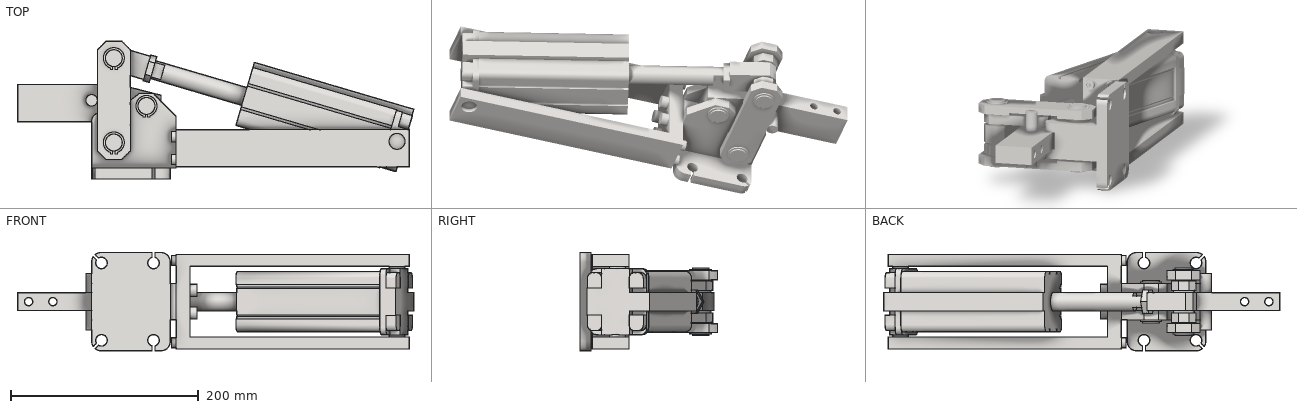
import cadquery as cq
import math

EPS = 0.2
CLEARANCE = 1.0
HEX_SIDES = 6

BASE_LENGTH, BASE_HEIGHT, BASE_WIDTH = 83.9, 12.0, 105.0
BASE_CORNER_RADIUS = 10.0
BASE_HOLE_DIAMETER = 12.0
BASE_HOLE_FRONT_X, BASE_HOLE_REAR_X = 10.5, 66.0
BASE_HOLE_Z = 41.25
BASE_SLOT_WIDTH = 3.0

LINK_PIVOT_X = 23.7
LOWER_PIVOT = (LINK_PIVOT_X, 39.0)
ROD_PIVOT = (LINK_PIVOT_X, 129.0)
ARM_PIVOT = (LINK_PIVOT_X, (LOWER_PIVOT[1] + ROD_PIVOT[1]) / 2)
BODY_PIVOT = (58.5, 78.0)
TRUNNION_PIVOT = (325.7, 40.2)

BODY_LENGTH, BODY_WIDTH = 90.0, 39.0
BODY_FRONT_HEIGHT, BODY_FRONT_RADIUS = 70.7, 9.0
BODY_REAR_HEIGHT, BODY_TOP = 67.0, 91.0
BODY_TOP_START_X, BODY_TOP_END_X = 50.5, 66.0
BODY_RELIEF_RADIUS = 17.6
ARM_SLOT_FLOOR = 58.0

ARM_FRONT_X, ARM_BOTTOM, ARM_TOP = -79.0, 61.0, 101.0
ARM_WIDTH = 19.0
ARM_STEP_X = 6.0
ARM_BEND_X, ARM_TAIL_X, ARM_TAIL_TOP = 29.0, 74.0, 89.5
ARM_HOLE_DIAMETER = 8.5
ARM_HOLE_XS = (-67.2, -41.3)
STOP_PIN_Y, STOP_PIN_DIAMETER, STOP_PIN_LENGTH = 84.0, 12.2, 60.5

OUTER_LINK_WIDTH, OUTER_LINK_OVERHANG, OUTER_LINK_CHAMFER = 35.0, 18.0, 9.0
OUTER_LINK_Z, OUTER_LINK_THICKNESS = 23.3, 9.8
LINK_RECESS_DEPTH, LINK_RECESS_LENGTH = 2.8, 53.0
INNER_LINK_WIDTH, INNER_LINK_OVERHANG, INNER_LINK_CHAMFER = 26.0, 13.0, 7.5
INNER_LINK_Z, INNER_LINK_THICKNESS = 12.0, 10.0

PIN_DIAMETER, PIN_HALF_LENGTH = 18.0, 36.0
BODY_PIN_HALF_LENGTH = 22.5
ARM_PIN_HALF_LENGTH = 25.5
PIN_SPACER_DIAMETER, BODY_SPACER_DIAMETER = 22.0, 26.0
RING_DIAMETER, RING_THICKNESS, RING_GAP = 22.4, 1.4, 2.4
RING_EAR_WIDTH, RING_EAR_DROP = 7.6, 12.0

FRAME_START, FRAME_END = BODY_LENGTH, 339.0
FRAME_BOTTOM, FRAME_HEIGHT, FRAME_WIDTH = 13.0, 39.7, 101.0
FRAME_WEB, FRAME_ARM = 15.0, 13.0
TRUNNION_DIAMETER, TRUNNION_RECESS = 17.0, 4.5
FRONT_SCREW_DIAMETER, FRONT_SCREW_HEIGHT, FRONT_SCREW_Z = 11.0, 5.0, 43.8
FRONT_SCREW_SOCKET, SCREW_SOCKET_DEPTH = 6.0, 3.0
REAR_SCREW_DIAMETER, REAR_SCREW_HEIGHT, REAR_SCREW_Z = 13.0, 7.6, 12.2
SCREW_YS = (20.8, 45.0)

CLEVIS_NOSE, CLEVIS_END = -12.5, 37.0
CLEVIS_HEIGHT, CLEVIS_CHAMFER = 26.0, 6.5
NUT_END, NUT_DIAMETER = 43.6, 28.8
FLATS_END, FLATS_WIDTH = 54.3, 12.0
ROD_DIAMETER = 20.0
BARREL_START, HEAD_START, HEAD_STEP = 145.0, 304.8, 311.6
TIE_NUT_END, CYLINDER_END = 322.9, 322.42
BARREL_SIZE, BARREL_CORNER = 64.5, 7.0
SIDE_GROOVE_OFFSET, SIDE_GROOVE_WIDTH = 11.5, 3.0
LOWER_GROOVE_OFFSET, LOWER_GROOVE_WIDTH = 14.0, 1.8
LOWER_RECESS_WIDTH, LOWER_RECESS_DEPTH = 36.6, 3.5
GROOVE_DEPTH = 3.0
RAIL_TOP, RAIL_WIDTH = 38.0, 20.0
HEAD_WIDTH, HEAD_HEIGHT = 70.6, 63.0
HEAD_CORE = 31.0
TIE_NUT_INNER, TIE_NUT_OUTER, TIE_NUT_RADIUS = 14.6, 31.0, 6.0


def box(x, y, z):
    """Box spanning the (min, max) ranges given for each axis."""
    size = [span[1] - span[0] for span in (x, y, z)]
    return cq.Workplane("XY").box(*size, centered=False).translate((x[0], y[0], z[0]))


def slab(outline, width):
    """Extrude an XY outline symmetrically about the mid plane."""
    return outline.extrude(width / 2, both=True)


def pin(center, diameter, half_length):
    """Round bar along Z, centred on the mid plane."""
    return slab(cq.Workplane("XY").center(*center).circle(diameter / 2), 2 * half_length)


def both_sides(shape):
    """Pair a shape with its mirror image across the mid plane."""
    return shape.union(shape.mirror("XY"))


def base_plate():
    """Mounting plate whose four bolt holes open to the edge through narrow slots."""
    plate = box((0, BASE_LENGTH), (0, BASE_HEIGHT), (-BASE_WIDTH / 2, BASE_WIDTH / 2))
    plate = plate.edges("|Y").fillet(BASE_CORNER_RADIUS)
    reach = 2 * BASE_HOLE_FRONT_X
    cut_height = 3 * BASE_HEIGHT
    for x, slot_angle in ((BASE_HOLE_FRONT_X, 45), (BASE_HOLE_REAR_X, 0)):
        bore = cq.Workplane("XZ").circle(BASE_HOLE_DIAMETER / 2).extrude(cut_height / 2, both=True)
        slot = cq.Workplane("XY").box(BASE_SLOT_WIDTH, cut_height, reach).translate((0, 0, reach / 2))
        slot = slot.rotate((0, 0, 0), (0, 1, 0), -slot_angle)
        cutter = bore.union(slot).translate((x, 0, BASE_HOLE_Z))
        plate = plate.cut(cutter).cut(cutter.mirror("XY"))
    return plate


def body_block():
    """Two cheeks on a solid foot, with a slot for the arm and a round relief for the inner links."""
    relief_run = math.sqrt(BODY_RELIEF_RADIUS**2 - (ARM_PIVOT[1] - BODY_FRONT_HEIGHT)**2)
    outline = (
        cq.Workplane("XY")
        .moveTo(0, BASE_HEIGHT - EPS)
        .lineTo(BODY_LENGTH + EPS, BASE_HEIGHT - EPS)
        .lineTo(BODY_LENGTH + EPS, BODY_REAR_HEIGHT)
        .lineTo(BODY_TOP_END_X, BODY_TOP)
        .lineTo(BODY_TOP_START_X, BODY_TOP)
        .lineTo(ARM_PIVOT[0] + BODY_RELIEF_RADIUS, ARM_PIVOT[1])
        .threePointArc(
            (ARM_PIVOT[0], ARM_PIVOT[1] - BODY_RELIEF_RADIUS),
            (ARM_PIVOT[0] - relief_run, BODY_FRONT_HEIGHT),
        )
        .lineTo(BODY_FRONT_RADIUS, BODY_FRONT_HEIGHT)
        .radiusArc((0, BODY_FRONT_HEIGHT - BODY_FRONT_RADIUS), -BODY_FRONT_RADIUS)
        .close()
    )
    block = slab(outline, BODY_WIDTH)
    slot_x = (-CLEARANCE, BODY_LENGTH + CLEARANCE)
    slot_y = (ARM_SLOT_FLOOR, BODY_TOP + CLEARANCE)
    arm_slot = box(slot_x, slot_y, (-ARM_WIDTH / 2, ARM_WIDTH / 2))
    return block.cut(arm_slot)


def clamp_arm():
    """Arm with two tool holes, a dropped tail and a cross pin that stops against the outer links."""
    outline = cq.Workplane("XY").polyline([
        (ARM_FRONT_X, ARM_BOTTOM),
        (ARM_STEP_X, ARM_BOTTOM),
        (ARM_STEP_X + ARM_BOTTOM - ARM_SLOT_FLOOR, ARM_SLOT_FLOOR),
        (ARM_TAIL_X, ARM_SLOT_FLOOR),
        (ARM_TAIL_X, ARM_TAIL_TOP),
        (ARM_BEND_X, ARM_TOP),
        (ARM_FRONT_X, ARM_TOP),
    ]).close()
    arm = slab(outline, ARM_WIDTH)
    for x in ARM_HOLE_XS:
        hole = cq.Workplane("XZ").center(x, 0).circle(ARM_HOLE_DIAMETER / 2).extrude(-ARM_TOP - CLEARANCE)
        arm = arm.cut(hole)
    return arm.union(pin((0, STOP_PIN_Y), STOP_PIN_DIAMETER, STOP_PIN_LENGTH / 2))


def link(lower, upper, width, overhang, chamfer, z, thickness):
    """Flat vertical bar with chamfered ends joining two pivots."""
    x = (lower[0] - width / 2, lower[0] + width / 2)
    y = (lower[1] - overhang, upper[1] + overhang)
    return box(x, y, (z, z + thickness)).edges("|Z").chamfer(chamfer)


def outer_links():
    bar = link(LOWER_PIVOT, ROD_PIVOT, OUTER_LINK_WIDTH, OUTER_LINK_OVERHANG, OUTER_LINK_CHAMFER,
               OUTER_LINK_Z, OUTER_LINK_THICKNESS)
    recess = cq.Workplane("XY").box(2 * OUTER_LINK_WIDTH, LINK_RECESS_LENGTH, 2 * LINK_RECESS_DEPTH)
    bar = bar.cut(recess.translate((*ARM_PIVOT, OUTER_LINK_Z)))
    return both_sides(bar)


def inner_links():
    bar = link(ARM_PIVOT, ROD_PIVOT, INNER_LINK_WIDTH, INNER_LINK_OVERHANG, INNER_LINK_CHAMFER,
               INNER_LINK_Z, INNER_LINK_THICKNESS)
    return both_sides(bar)


def retaining_rings(center, z):
    """Open spring rings with two ears, seated on the outer faces at height z."""
    ears = cq.Workplane("XY").rect(RING_EAR_WIDTH, RING_EAR_DROP).extrude(RING_THICKNESS + EPS)
    ring = cq.Workplane("XY").circle(RING_DIAMETER / 2).extrude(RING_THICKNESS + EPS)
    ring = ring.union(ears.translate((0, -RING_EAR_DROP / 2, 0)))
    gap = cq.Workplane("XY").rect(RING_GAP, RING_DIAMETER).extrude(RING_THICKNESS + EPS)
    ring = ring.cut(gap.translate((0, -RING_DIAMETER / 2, 0)))
    return both_sides(ring.translate((*center, z - EPS)))


def pivot_pins():
    """Four pivot pins with the spacers and retaining rings fitted to them."""
    link_face = OUTER_LINK_Z + OUTER_LINK_THICKNESS
    pins = pin(ROD_PIVOT, PIN_DIAMETER, PIN_HALF_LENGTH)
    pins = pins.union(pin(ROD_PIVOT, PIN_SPACER_DIAMETER, OUTER_LINK_Z + EPS))
    pins = pins.union(retaining_rings(ROD_PIVOT, link_face))
    pins = pins.union(pin(LOWER_PIVOT, PIN_DIAMETER, PIN_HALF_LENGTH))
    pins = pins.union(pin(LOWER_PIVOT, BODY_SPACER_DIAMETER, OUTER_LINK_Z + EPS))
    pins = pins.union(retaining_rings(LOWER_PIVOT, link_face))
    pins = pins.union(pin(BODY_PIVOT, PIN_DIAMETER, BODY_PIN_HALF_LENGTH))
    pins = pins.union(retaining_rings(BODY_PIVOT, BODY_WIDTH / 2))
    return pins.union(pin(ARM_PIVOT, PIN_DIAMETER, ARM_PIN_HALF_LENGTH))


def screw_head(x, y, z, diameter, height):
    return cq.Workplane("YZ").center(y, z).circle(diameter / 2).extrude(height).translate((x, 0, 0))


def rear_frame():
    """U-shaped frame that carries the cylinder trunnions, with its fixing screws."""
    y = (FRAME_BOTTOM, FRAME_BOTTOM + FRAME_HEIGHT)
    inner_z = FRAME_WIDTH / 2 - FRAME_ARM
    frame = box((FRAME_START, FRAME_END), y, (-FRAME_WIDTH / 2, FRAME_WIDTH / 2))
    window = box((FRAME_START + FRAME_WEB, FRAME_END + CLEARANCE), (0, ROD_PIVOT[1]), (-inner_z, inner_z))
    frame = frame.cut(window)
    recess = cq.Workplane("XY").center(*TRUNNION_PIVOT).circle(TRUNNION_DIAMETER / 2).extrude(TRUNNION_RECESS)
    frame = frame.cut(both_sides(recess.translate((0, 0, FRAME_WIDTH / 2 - TRUNNION_RECESS))))
    front_x = FRAME_START - FRONT_SCREW_HEIGHT
    for screw_y in SCREW_YS:
        for side in (-1, 1):
            head = screw_head(front_x, screw_y, side * FRONT_SCREW_Z,
                              FRONT_SCREW_DIAMETER, FRONT_SCREW_HEIGHT + EPS)
            socket = cq.Workplane("YZ").polygon(HEX_SIDES, FRONT_SCREW_SOCKET).extrude(SCREW_SOCKET_DEPTH)
            head = head.cut(socket.translate((front_x, screw_y, side * FRONT_SCREW_Z)))
            frame = frame.union(head)
            frame = frame.union(screw_head(FRAME_START + FRAME_WEB - EPS, screw_y, side * REAR_SCREW_Z,
                                           REAR_SCREW_DIAMETER, REAR_SCREW_HEIGHT + EPS))
    return frame


def along_axis(start, end, height, width):
    """Centred bar along the cylinder axis, with the given height and width across it."""
    return box((start, end), (-height / 2, height / 2), (-width / 2, width / 2))


def rod_assembly():
    """Clevis, lock nut and piston rod with two wrench flats."""
    clevis = along_axis(CLEVIS_NOSE, CLEVIS_END, CLEVIS_HEIGHT, ARM_WIDTH)
    clevis = clevis.faces("<X").edges("|Z").chamfer(CLEVIS_CHAMFER)
    nut = cq.Workplane("YZ").polygon(HEX_SIDES, NUT_DIAMETER).extrude(NUT_END - CLEVIS_END + EPS)
    nut = nut.translate((CLEVIS_END - EPS, 0, 0))
    rod_start = NUT_END - EPS
    rod = cq.Workplane("YZ").circle(ROD_DIAMETER / 2).extrude(BARREL_START + EPS - rod_start)
    rod = rod.translate((rod_start, 0, 0))
    flat = box((rod_start, FLATS_END), (-ROD_DIAMETER, ROD_DIAMETER), (FLATS_WIDTH / 2, ROD_DIAMETER))
    rod = rod.cut(both_sides(flat))
    return clevis.union(nut).union(rod)


def barrel_grooves(offset, width, depth):
    """Cutter for the pair of grooves along the upper face of the barrel."""
    height = (BARREL_SIZE / 2 - depth, BARREL_SIZE)
    return both_sides(box((BARREL_START - CLEARANCE, HEAD_START), height, (offset, offset + width)))


def barrel():
    """Grooved square tube with a recessed lower face and a sensor rail on top."""
    tube = along_axis(BARREL_START, HEAD_START + EPS, BARREL_SIZE, BARREL_SIZE)
    tube = tube.edges("|X").fillet(BARREL_CORNER)
    for angle in (90, -90):
        side_grooves = barrel_grooves(SIDE_GROOVE_OFFSET, SIDE_GROOVE_WIDTH, GROOVE_DEPTH)
        tube = tube.cut(side_grooves.rotate((0, 0, 0), (1, 0, 0), angle))
    recess_floor = BARREL_SIZE / 2 - LOWER_RECESS_DEPTH
    recess_side = LOWER_RECESS_WIDTH / 2
    recess_x = (BARREL_START - CLEARANCE, HEAD_START)
    tube = tube.cut(box(recess_x, (-BARREL_SIZE, -recess_floor), (-recess_side, recess_side)))
    lower_grooves = barrel_grooves(LOWER_GROOVE_OFFSET, LOWER_GROOVE_WIDTH, LOWER_RECESS_DEPTH + GROOVE_DEPTH)
    tube = tube.cut(lower_grooves.mirror("XZ"))
    rail = box((BARREL_START, CYLINDER_END), (0, RAIL_TOP), (-RAIL_WIDTH / 2, RAIL_WIDTH / 2))
    return tube.union(rail)


def cylinder_head():
    """Rear head with a full front flange and rounded tie-rod nuts in its stepped corners."""
    flange = along_axis(HEAD_START, HEAD_STEP, HEAD_HEIGHT, HEAD_WIDTH).edges("|X").fillet(BARREL_CORNER)
    core = along_axis(HEAD_STEP - EPS, CYLINDER_END, HEAD_CORE, HEAD_WIDTH)
    column_y = (-HEAD_HEIGHT / 2, HEAD_CORE / 2)
    column = box((HEAD_STEP - EPS, CYLINDER_END), column_y, (-TIE_NUT_INNER, TIE_NUT_INNER))
    span_y = (HEAD_CORE / 2 - EPS, TIE_NUT_OUTER)
    span_z = (TIE_NUT_INNER - EPS, TIE_NUT_OUTER)
    tie_nut = box((HEAD_STEP - EPS, TIE_NUT_END), span_y, span_z)
    tie_nut = tie_nut.edges("|X and >Z").fillet(TIE_NUT_RADIUS)
    tie_nuts = both_sides(tie_nut)
    tie_nuts = tie_nuts.union(tie_nuts.mirror("XZ"))
    return flange.union(core).union(column).union(tie_nuts)


def cylinder():
    """Cylinder built along X from the rod pivot, then tilted so its axis meets the trunnions."""
    run = TRUNNION_PIVOT[0] - ROD_PIVOT[0]
    fall = TRUNNION_PIVOT[1] - ROD_PIVOT[1]
    tilt = math.degrees(math.atan2(fall, run))
    assembly = rod_assembly().union(barrel()).union(cylinder_head())
    assembly = assembly.rotate((0, 0, 0), (0, 0, 1), tilt).translate((*ROD_PIVOT, 0))
    trunnion_start = HEAD_WIDTH / 2 - EPS
    trunnion_end = FRAME_WIDTH / 2 - FRAME_ARM + EPS
    trunnion = cq.Workplane("XY").center(*TRUNNION_PIVOT).circle(TRUNNION_DIAMETER / 2)
    trunnion = trunnion.extrude(trunnion_end - trunnion_start).translate((0, 0, trunnion_start))
    return assembly.union(both_sides(trunnion))


result = (
    base_plate()
    .union(body_block())
    .union(clamp_arm())
    .union(inner_links())
    .union(outer_links())
    .union(pivot_pins())
    .union(rear_frame())
    .union(cylinder())
)